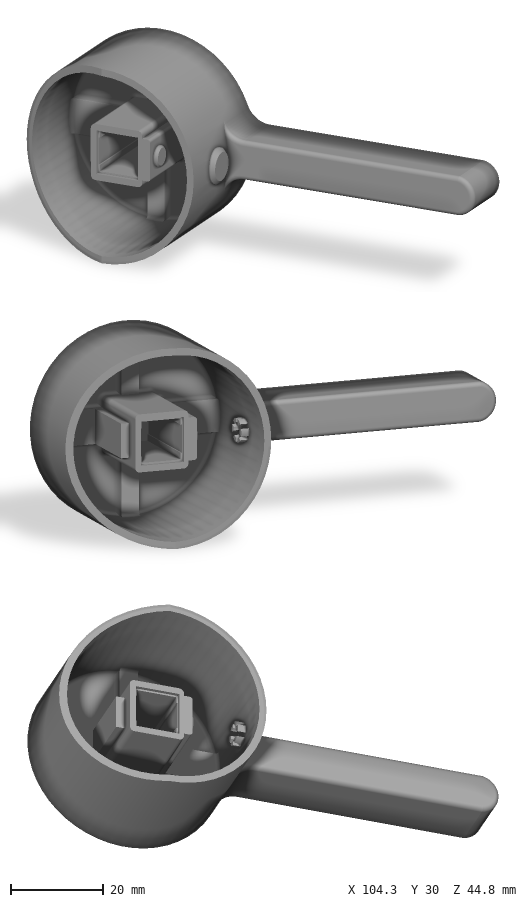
import cadquery as cq
import math

CUP_RADIUS = 22.38
CUP_DEPTH = 30.0
CAVITY_RADIUS = 20.8
MID_WALL_RADIUS = 21.3
FLOOR_THICKNESS = 2.1
SLANT_SIDE_DEPTH = 21.6
EDGE_ROUND = 1.0
FLOOR_FILLET = 0.8

LEVER_TIP_X = 81.95
LEVER_TIP_ARC_X = 78.1
LEVER_HALF_HEIGHT = 4.5
LEVER_WIDTH = 13.4
LEVER_BLEND_RADIUS = 5.6

HUB_LEFT_X = -6.4
HUB_RIGHT_X = 6.0
HUB_HALF_HEIGHT = 6.5
HUB_MOUTH_Y = -22.4
HUB_CORNER_RADIUS = 1.0
SOCKET_SIZE = 10.0

BOSS_END_X = 8.0
BOSS_HALF_HEIGHT = 4.8
BOSS_CORNER_RADIUS = 0.6
PAD_END_X = -8.2
PAD_HALF_HEIGHT = 3.9
PAD_FRONT_Y = -18.8

RIB_HEIGHT = 1.5
UPRIGHT_RIB_WIDTH = 4.2
LEFT_RIB_WIDTH = 7.9
RIGHT_RIB_WIDTH = 7.3

SLEEVE_WALL = 0.4
SLEEVE_RECESS = 0.8
SLEEVE_RELIEF_WIDTH = 6.3
SLEEVE_RELIEF_DEPTH = 0.3

SCREW_Y = -18.6
SCREW_RADIUS = 2.4
SCREW_END_X = 9.0
SCREW_CHAMFER = 0.4

PLUG_CAP_RADIUS = 4.1
PLUG_CAP_END_X = 23.5
PLUG_CAP_CHAMFER = 0.8
PLUG_SHANK_RADIUS = 2.7
PLUG_BORE_RADIUS = 1.8
PLUG_INNER_X = 18.9
PRONG_COUNT = 6
PRONG_SLOT_WIDTH = 1.0

EDGE_TOLERANCE = 0.01

FLOOR_Y = -FLOOR_THICKNESS
SOCKET_HALF = SOCKET_SIZE / 2
SLEEVE_HALF = SOCKET_HALF - SLEEVE_WALL
RELIEF_X = SLEEVE_HALF + SLEEVE_RELIEF_DEPTH


def block(x_start, x_end, y_start, y_end, z_half):
    """Box between two X and two Y values, symmetric about z = 0."""
    box = cq.Workplane("XY").box(x_end - x_start, abs(y_end - y_start), 2 * z_half)
    return box.translate(((x_start + x_end) / 2, (y_start + y_end) / 2, 0))


def rod_along_x(radius, x_start, x_end):
    """Cylinder on the common axis of the set screw and the plug."""
    return cq.Workplane("YZ", origin=(x_start, SCREW_Y, 0)).circle(radius).extrude(x_end - x_start)


def solid_cup(radius):
    """Solid cylinder over the full depth of the cup."""
    return cq.Workplane("XZ").circle(radius).extrude(CUP_DEPTH)


def make_shell():
    """Round cup and lever with rounded edges, before hollowing."""
    blend_z = LEVER_HALF_HEIGHT + LEVER_BLEND_RADIUS
    blend_distance = CUP_RADIUS + LEVER_BLEND_RADIUS
    blend_x = math.sqrt(blend_distance**2 - blend_z**2)
    touch_x = blend_x * CUP_RADIUS / blend_distance
    touch_z = blend_z * CUP_RADIUS / blend_distance
    middle_angle = (math.atan2(blend_z, blend_x) + math.pi / 2) / 2
    middle_x = blend_x - LEVER_BLEND_RADIUS * math.cos(middle_angle)
    middle_z = blend_z - LEVER_BLEND_RADIUS * math.sin(middle_angle)

    lever = (
        cq.Workplane("XZ")
        .moveTo(0, touch_z)
        .lineTo(touch_x, touch_z)
        .threePointArc((middle_x, middle_z), (blend_x, LEVER_HALF_HEIGHT))
        .lineTo(LEVER_TIP_ARC_X, LEVER_HALF_HEIGHT)
        .threePointArc((LEVER_TIP_X, 0), (LEVER_TIP_ARC_X, -LEVER_HALF_HEIGHT))
        .lineTo(blend_x, -LEVER_HALF_HEIGHT)
        .threePointArc((middle_x, -middle_z), (touch_x, -touch_z))
        .lineTo(0, -touch_z)
        .close()
        .extrude(LEVER_WIDTH)
        .faces("<Y").edges()
        .fillet(EDGE_ROUND)
    )
    return solid_cup(CUP_RADIUS).union(lever).faces(">Y").edges().fillet(EDGE_ROUND)


def rounded_bore(bottom_y):
    """Cavity cylinder from bottom_y out past the rim, its bottom edge rounded."""
    bore = cq.Workplane("XZ", origin=(0, bottom_y, 0)).circle(CAVITY_RADIUS).extrude(CUP_DEPTH)
    return bore.faces(">Y").edges().fillet(FLOOR_FILLET)


def with_foot(feature):
    """Feature standing on the cup floor, filleted where it leaves the floor and trimmed inside the wall."""
    plate_half = CUP_RADIUS + EDGE_ROUND
    plate = block(-plate_half, plate_half, 0, FLOOR_Y, plate_half)
    foot_edges = cq.selectors.BoxSelector(
        (-CUP_RADIUS, FLOOR_Y - EDGE_TOLERANCE, -CUP_RADIUS),
        (CUP_RADIUS, FLOOR_Y + EDGE_TOLERANCE, CUP_RADIUS),
        boundingbox=True,
    )
    footed = plate.union(feature).edges(foot_edges).fillet(FLOOR_FILLET)
    return footed.intersect(solid_cup(MID_WALL_RADIUS))


def make_hub():
    """Square hub with its screw boss and pad, each on a filleted foot."""
    hub = block(HUB_LEFT_X, HUB_RIGHT_X, 0, HUB_MOUTH_Y, HUB_HALF_HEIGHT).edges("|Y").fillet(HUB_CORNER_RADIUS)
    boss = block(0, BOSS_END_X, 0, HUB_MOUTH_Y, BOSS_HALF_HEIGHT).edges("|Y and >X").fillet(BOSS_CORNER_RADIUS)
    pad = block(PAD_END_X, 0, 0, PAD_FRONT_Y, PAD_HALF_HEIGHT)
    return with_foot(hub).union(with_foot(boss)).union(pad)


def make_ribs():
    """Floor ribs from the hub to the cup wall, rounded up into the wall."""
    rib_top_y = FLOOR_Y - RIB_HEIGHT
    blank_top_y = rib_top_y - FLOOR_FILLET
    upright = block(-UPRIGHT_RIB_WIDTH / 2, UPRIGHT_RIB_WIDTH / 2, 0, blank_top_y, MID_WALL_RADIUS)
    left = block(-MID_WALL_RADIUS, 0, 0, blank_top_y, LEFT_RIB_WIDTH / 2)
    right = block(0, MID_WALL_RADIUS, 0, blank_top_y, RIGHT_RIB_WIDTH / 2)
    ribs = with_foot(upright).union(with_foot(left)).union(with_foot(right))
    return ribs.cut(rounded_bore(rib_top_y))


def make_handle():
    """Cup with lever, inner hub and ribs, and the holes for the fitted bodies."""
    slanted_cut = (
        cq.Workplane("XY")
        .moveTo(0, -CUP_DEPTH)
        .lineTo(-CUP_RADIUS, -SLANT_SIDE_DEPTH)
        .lineTo(-CUP_RADIUS, -CUP_DEPTH)
        .close()
        .extrude(CUP_RADIUS, both=True)
    )
    socket = block(-SOCKET_HALF, SOCKET_HALF, FLOOR_Y, HUB_MOUTH_Y, SOCKET_HALF)
    screw_hole = rod_along_x(SCREW_RADIUS, 0, BOSS_END_X)
    plug_hole = rod_along_x(PLUG_SHANK_RADIUS, PLUG_INNER_X, PLUG_CAP_END_X)
    handle_body = make_shell().cut(rounded_bore(FLOOR_Y)).union(make_ribs()).union(make_hub())
    for hollow in (slanted_cut, socket, screw_hole, plug_hole):
        handle_body = handle_body.cut(hollow)
    return handle_body


def make_sleeve():
    """Thin square liner of the hub socket, relieved inside its two X walls."""
    front_y = HUB_MOUTH_Y + SLEEVE_RECESS
    liner = block(-SOCKET_HALF, SOCKET_HALF, FLOOR_Y, front_y, SOCKET_HALF)
    bore = block(-SLEEVE_HALF, SLEEVE_HALF, FLOOR_Y, front_y, SLEEVE_HALF)
    relief = block(-RELIEF_X, RELIEF_X, FLOOR_Y, front_y, SLEEVE_RELIEF_WIDTH / 2)
    screw_hole = rod_along_x(SCREW_RADIUS, 0, BOSS_END_X)
    return liner.cut(bore).cut(relief).cut(screw_hole)


def make_set_screw():
    """Set screw through the boss, its tip flush with the relieved sleeve wall."""
    return rod_along_x(SCREW_RADIUS, RELIEF_X, SCREW_END_X).faces(">X").chamfer(SCREW_CHAMFER)


def make_plug():
    """Plug of the screw access hole: chamfered cap outside, slotted tubular shank inside."""
    shank = rod_along_x(PLUG_SHANK_RADIUS, PLUG_INNER_X, CUP_RADIUS)
    shank = shank.cut(rod_along_x(PLUG_BORE_RADIUS, PLUG_INNER_X, CAVITY_RADIUS))
    slot_length = CAVITY_RADIUS - PLUG_INNER_X
    for index in range(PRONG_COUNT // 2):
        angle = 360 / PRONG_COUNT * (index + 0.5)
        slot = (
            cq.Workplane("YZ")
            .transformed(offset=(SCREW_Y, 0, PLUG_INNER_X), rotate=(0, 0, angle))
            .rect(2 * PLUG_CAP_RADIUS, PRONG_SLOT_WIDTH)
            .extrude(slot_length)
        )
        shank = shank.cut(slot)

    cap = rod_along_x(PLUG_CAP_RADIUS, CAVITY_RADIUS, PLUG_CAP_END_X).faces(">X").chamfer(PLUG_CAP_CHAMFER)
    return cap.cut(solid_cup(CUP_RADIUS)).union(shank)


handle = make_handle()
sleeve = make_sleeve()
set_screw = make_set_screw()
plug = make_plug()

result = cq.Compound.makeCompound([handle.val(), sleeve.val(), set_screw.val(), plug.val()])